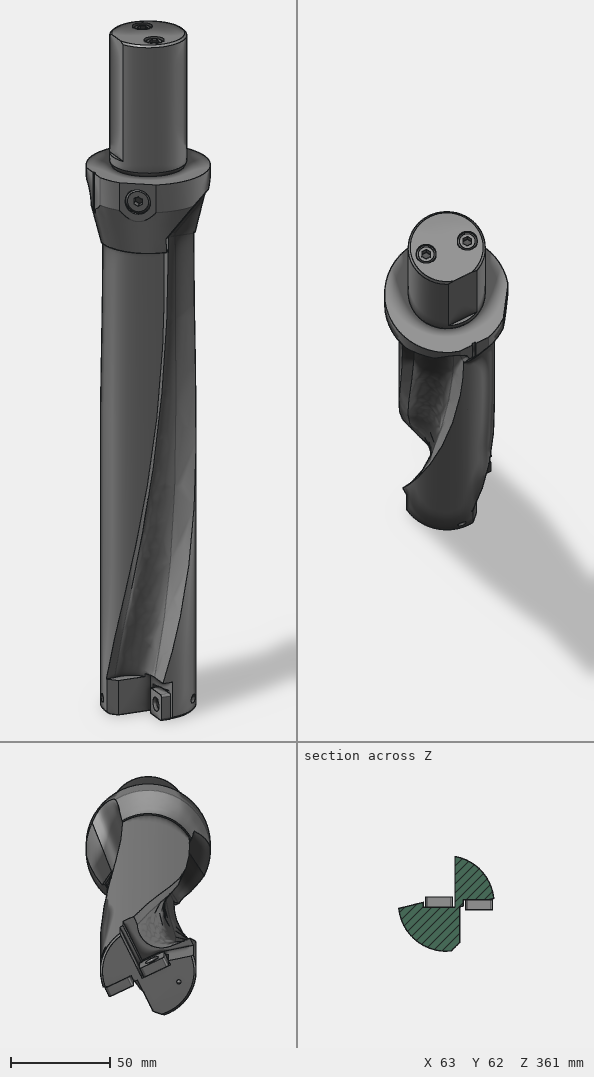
import cadquery as cq
import math

total_height = 361
flange_top = 290.7
cone_top = 276.0
cone_bottom = 251.7
outer_pocket_top = 21.0
inner_pocket_top = 24.5
tip_height = 1.0

shank_radius = 19.5
neck_radius = 18.5
neck_height = 2.0
flange_radius = 31.5
cone_end_radius = 25.0
body_radius = 24.2
edge_chamfer = 1.0

shank_flat_distance = 17.7
shank_flat_bottom = 297.5
flange_flat_distance = 30.5
witness_groove_width = 1.8
witness_groove_depth = 0.7

side_flat_angle = -34.5
side_flat_distance = 30.0
side_plug_height = 281.0
side_plug_radius = 6.5

end_plug_radius = 5.0
end_plug_x = 11.0
end_plug_y = -1.63
plug_length = 7.2
plug_sink = 0.7
plug_rim_chamfer = 1.0
socket_across_corners = 5.0
socket_depth = 4.5

flute_wall_x = -2.7
flute_corner_radius = 12.3
flute_tangent_y = -13.7
flute_ridge_x = -19.5
flute_reach = 36.0
lip_reach = 16.5
lip_angle_top = 45.0

twist_top = 251.5
twist_bottom = 29.0
twist_total = 84.0
twist_exponent = 1.95
twist_sections = 16
flute_end = 19.5
runout_lead = 14.5
runout_length = 57.8
runout_turn_z = 253.0
runout_angle = 45.0
runout_lip_angle = 32.0

outer_pocket_wall_x = -7.0
inner_pocket_wall_x = 2.5
pocket_corner_y = 1.8
pocket_lip_x = -2.35
pocket_land_y = -2.5

insert_size = 13.7
insert_thickness = 5.0
insert_face_offset = 3.3
insert_corner_radius = 1.0
insert_base_z = 0.7
outer_insert_x = 16.5
inner_insert_x = -3.5
insert_hole_radius = 2.0
insert_hole_depth = 3.0
insert_countersink_radius = 3.5
seat_clearance = 1.0

point_position = -11.5
point_radius = 1.0

half_turn = 180


def turned_body():
    """Shank, neck, flange, cone and drill body as one revolved blank."""
    shank_bottom = flange_top + neck_height
    outline = [
        (0, tip_height),
        (body_radius - edge_chamfer, tip_height),
        (body_radius, tip_height + edge_chamfer),
        (body_radius, cone_bottom),
        (cone_end_radius, cone_bottom),
        (flange_radius, cone_top),
        (flange_radius, flange_top),
        (neck_radius, flange_top),
        (shank_radius, shank_bottom),
        (shank_radius, total_height - edge_chamfer),
        (shank_radius - edge_chamfer, total_height),
        (0, total_height),
    ]
    return cq.Workplane("XZ").polyline(outline).close().revolve(360, (0, 0, 0), (0, 1, 0))


def tip_point():
    """Small cone standing out below the tip."""
    top_center = cq.Vector(point_position, point_position, tip_height)
    return cq.Workplane(
        cq.Solid.makeCone(point_radius, 0, tip_height, pnt=top_center, dir=cq.Vector(0, 0, -1))
    )


def flat_cutter(distance, bottom, top):
    """Block that leaves a flat facing -Y at the given distance from the axis."""
    return cq.Workplane("XY").box(
        2 * flange_radius, flange_radius, top - bottom, centered=(True, False, False)
    ).translate((0, -distance - flange_radius, bottom))


def cut_flats(body):
    body = body.cut(flat_cutter(shank_flat_distance, shank_flat_bottom, total_height))
    body = body.cut(flat_cutter(flange_flat_distance, cone_bottom, flange_top))
    side_flat = flat_cutter(side_flat_distance, cone_bottom, flange_top)
    body = body.cut(side_flat.rotate((0, 0, 0), (0, 0, 1), side_flat_angle + 90))
    groove = flat_cutter(flange_flat_distance - witness_groove_depth, cone_bottom, flange_top)
    groove_limit = cq.Workplane("XY").box(
        witness_groove_width, 3 * flange_radius, 3 * total_height
    )
    return body.cut(groove.intersect(groove_limit))


def flute_progress(height):
    """0 at the top of the flute and 1 where its twist ends near the tip."""
    return (twist_top - height) / (twist_top - twist_bottom)


def flute_section(height, lip_angle):
    """Flute outline: flat wall, round bottom up to a ridge, and a straight lip from there outwards."""
    center_x = flute_wall_x - flute_corner_radius
    ridge_y = flute_tangent_y + math.sqrt(flute_corner_radius**2 - (flute_ridge_x - center_x) ** 2)
    lip_x = flute_ridge_x - lip_reach
    lip_y = ridge_y + lip_reach * math.tan(math.radians(lip_angle))
    return (
        cq.Workplane("XY")
        .workplane(offset=height)
        .moveTo(flute_wall_x, -flute_reach)
        .lineTo(flute_wall_x, flute_tangent_y)
        .threePointArc((center_x, flute_tangent_y + flute_corner_radius), (flute_ridge_x, ridge_y))
        .lineTo(lip_x, lip_y)
        .lineTo(lip_x, -flute_reach)
        .close()
    )


def twisted_flute():
    """Part of the flute that turns around the axis, its lip flattening towards the tip."""
    step = (twist_top - flute_end) / twist_sections
    wires = []
    for index in range(twist_sections + 1):
        height = flute_end + index * step
        progress = flute_progress(height)
        wire = flute_section(height, lip_angle_top * (1 - progress)).wires().val()
        twist = -twist_total * progress**twist_exponent
        wires.append(wire.rotate(cq.Vector(0, 0, 0), cq.Vector(0, 0, 1), twist))
    return cq.Workplane(cq.Solid.makeLoft(wires))


def flute_runout():
    """Straight top of the flute, turning outwards through the cone."""
    lean = math.radians(runout_angle)
    start_z = twist_top - runout_lead
    path = (
        cq.Workplane("YZ")
        .moveTo(flute_tangent_y, start_z)
        .lineTo(flute_tangent_y, runout_turn_z)
        .lineTo(
            flute_tangent_y - runout_length * math.sin(lean),
            runout_turn_z + runout_length * math.cos(lean),
        )
    )
    bend = flute_section(start_z, runout_lip_angle).sweep(path, transition="right")
    above_twist = (
        cq.Workplane("XY").workplane(offset=twist_top).rect(total_height, total_height).extrude(total_height)
    )
    return bend.intersect(above_twist)


def pocket_floor():
    """Floor of a chip pocket, from the land in to the corner."""
    return [
        (-flute_reach, pocket_land_y),
        (-body_radius, pocket_land_y),
        (outer_pocket_wall_x, pocket_corner_y),
    ]


def outer_pocket():
    """Sharp-cornered pocket whose wall ends in a 45 degree lip."""
    lip_width = pocket_lip_x - outer_pocket_wall_x
    outline = pocket_floor() + [
        (outer_pocket_wall_x, body_radius - lip_width),
        (pocket_lip_x, body_radius),
        (pocket_lip_x, flute_reach),
        (-flute_reach, flute_reach),
    ]
    return cq.Workplane("XY").polyline(outline).close().extrude(outer_pocket_top)


def inner_pocket():
    """Pocket reaching across the axis, over the whole inner insert."""
    outline = pocket_floor() + [
        (inner_pocket_wall_x, pocket_corner_y),
        (inner_pocket_wall_x, flute_reach),
        (-flute_reach, flute_reach),
    ]
    return cq.Workplane("XY").polyline(outline).close().extrude(inner_pocket_top)


def cut_flutes(body):
    for pocket, angle in ((inner_pocket(), 0), (outer_pocket(), half_turn)):
        for cutter in (twisted_flute(), flute_runout(), pocket):
            body = body.cut(cutter.rotate((0, 0, 0), (0, 0, 1), angle))
    return body


def insert_blank(center_x):
    """Square cutting insert facing +Y, with a countersunk blind hole."""
    center_z = insert_base_z + insert_size / 2
    sink_depth = insert_countersink_radius - insert_hole_radius
    blank = (
        cq.Workplane("XZ", origin=(center_x, insert_face_offset, center_z))
        .rect(insert_size, insert_size)
        .extrude(insert_thickness)
        .edges("|Y")
        .fillet(insert_corner_radius)
    )
    hole = (
        cq.Workplane("XZ", origin=(center_x, insert_face_offset, center_z))
        .circle(insert_hole_radius)
        .extrude(insert_hole_depth)
    )
    countersink = cq.Workplane(
        cq.Solid.makeCone(
            insert_countersink_radius,
            insert_hole_radius,
            sink_depth,
            pnt=cq.Vector(center_x, insert_face_offset, center_z),
            dir=cq.Vector(0, -1, 0),
        )
    )
    return blank.cut(hole).cut(countersink)


def insert_seat(center_x):
    """Open slot that an insert facing +Y sits in, with its screw hole through the body."""
    width = insert_size + 2 * seat_clearance
    seat_y = insert_face_offset - insert_thickness
    slot = (
        cq.Workplane("XY")
        .box(width, flute_reach, insert_base_z + insert_size + seat_clearance, centered=(True, False, False))
        .translate((center_x, seat_y, 0))
    )
    screw_hole = (
        cq.Workplane("XZ", origin=(center_x, seat_y, insert_base_z + insert_size / 2))
        .circle(insert_hole_radius)
        .extrude(flute_reach)
    )
    return slot.union(screw_hole)


def plug_hole(plane, radius):
    return cq.Workplane(plane).circle(radius).extrude(-plug_sink - plug_length)


def plug(plane, radius):
    """Screw plug with a chamfered rim and a hexagon socket, sunk below the surface."""
    blank = cq.Workplane("XY").circle(radius).extrude(-plug_length).faces(">Z").chamfer(plug_rim_chamfer)
    socket = cq.Workplane("XY").polygon(6, socket_across_corners).extrude(-socket_depth)
    sunk = blank.cut(socket).translate((0, 0, -plug_sink))
    return cq.Workplane(sunk.val().moved(cq.Location(plane)))


side_direction = cq.Vector(
    math.cos(math.radians(side_flat_angle)), math.sin(math.radians(side_flat_angle)), 0
)
side_plane = cq.Plane(
    origin=side_direction * side_flat_distance + cq.Vector(0, 0, side_plug_height),
    xDir=(0, 0, 1),
    normal=side_direction,
)
plug_places = [(side_plane, side_plug_radius)]
for sign in (1, -1):
    end_plane = cq.Plane(origin=(sign * end_plug_x, sign * end_plug_y, total_height))
    plug_places.append((end_plane, end_plug_radius))

insert_places = [(inner_insert_x, 0), (-outer_insert_x, half_turn)]

drill_body = cut_flutes(cut_flats(turned_body().union(tip_point())))

inserts = []
for center_x, turn in insert_places:
    drill_body = drill_body.cut(insert_seat(center_x).rotate((0, 0, 0), (0, 0, 1), turn))
    inserts.append(insert_blank(center_x).rotate((0, 0, 0), (0, 0, 1), turn))

plugs = []
for plane, radius in plug_places:
    drill_body = drill_body.cut(plug_hole(plane, radius))
    plugs.append(plug(plane, radius))

result = cq.Compound.makeCompound(
    [
        drill_body.val(),
        *[insert.val() for insert in inserts],
        *[screw_plug.val() for screw_plug in plugs],
    ]
)